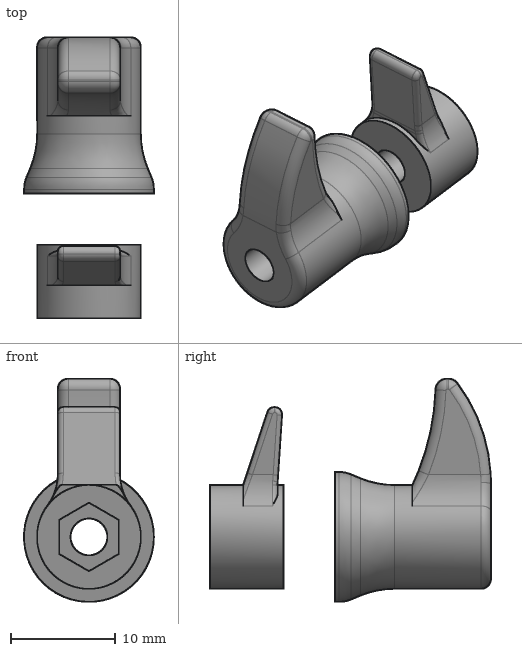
import cadquery as cq
import math

BARREL_RADIUS = 5.0
BORE_DIAMETER = 3.5
HEX_FLATS = 5.7
HEX_DEPTH = 4.0
ARM_WIDTH = 6.0
FOOT_RADIUS = BARREL_RADIUS
ARM_BEND_Z = 5.1
TOLERANCE = 0.0003

TOTAL_LENGTH = 27.0

LARGE_LENGTH = 15.0
LARGE_TOP_Z = 15.2
LARGE_TIP_ROUND = 1.1
LARGE_ROUND = 1.0
LARGE_BACK_RADIUS = 16.06
LARGE_FRONT_RADIUS = 22.95
LARGE_ARM_DEPTH = 7.55
LARGE_TIP_FRONT = 5.35

RIM_DIAMETER = 12.5
RIM_RADIUS = RIM_DIAMETER / 2
RIM_LENGTH = 0.4
NECK_START = 9.3
NECK_RADIUS = 8.59
LIP_RADIUS = 3.0
FLARE_ANGLE = math.radians(22.5)

SMALL_LENGTH = 7.07
SMALL_TOP_Z = 12.47
SMALL_TIP_ROUND = 0.73
SMALL_SIDE_ROUND = 0.5
SMALL_BEND_RADIUS = 5.4
SMALL_FOOT_BACK = 0.57
SMALL_FOOT_FRONT = 3.9
SMALL_TIP_BACK = 0.08
SMALL_TIP_FRONT = 1.4


def arm_outline(top_z, length):
    """Arm and its flared foot as a Y prism, narrowing to the barrel axis inside the barrel."""
    half_width = ARM_WIDTH / 2
    center_x = half_width + FOOT_RADIUS
    center_distance = BARREL_RADIUS + FOOT_RADIUS
    center_z = math.sqrt(center_distance**2 - center_x**2)
    foot_x = center_x * BARREL_RADIUS / center_distance
    foot_z = center_z * BARREL_RADIUS / center_distance
    middle_angle = math.atan2(center_z, center_x) / 2
    middle_x = center_x - FOOT_RADIUS * math.cos(middle_angle)
    middle_z = center_z - FOOT_RADIUS * math.sin(middle_angle)
    return (
        cq.Workplane("XZ")
        .lineTo(foot_x, foot_z)
        .threePointArc((middle_x, middle_z), (half_width, center_z))
        .lineTo(half_width, top_z)
        .lineTo(-half_width, top_z)
        .lineTo(-half_width, center_z)
        .threePointArc((-middle_x, middle_z), (-foot_x, foot_z))
        .close()
        .extrude(length)
    )


def round_arm(arm, top_z, tip_round, side_round):
    """Round the tip across X, then the rim of both sides of the arm and foot."""
    arm = arm.faces(">Z").edges("|X").fillet(tip_round)
    rim = []
    for edge in arm.edges().vals():
        center = edge.Center()
        on_side = abs(center.x) > ARM_WIDTH / 2 - TOLERANCE
        runs_along_y = abs(edge.tangentAt(0.5).y) > 0.27 - TOLERANCE
        at_tip = center.z > top_z - TOLERANCE
        if on_side and (at_tip or not runs_along_y):
            rim.append(edge)
    return arm.newObject(rim).fillet(side_round)


def trim_front(arm, depth):
    """Keep the arm back of a plane that ends its foot."""
    keep = cq.Workplane("XY").box(TOTAL_LENGTH, depth, TOTAL_LENGTH * 2).translate((0, -depth / 2, 0))
    return arm.intersect(keep)


def drill(body, front_y):
    """Cut the through bore and the hexagonal pocket, which has corners at top and bottom."""
    bore = cq.Workplane("XZ").circle(BORE_DIAMETER / 2).extrude(TOTAL_LENGTH)
    corner_diameter = HEX_FLATS / math.cos(math.pi / 6)
    pocket = (
        cq.Workplane("XZ", origin=(0, front_y, 0))
        .polygon(6, corner_diameter)
        .extrude(-HEX_DEPTH)
        .rotate((0, 0, 0), (0, 1, 0), 30)
    )
    return body.cut(bore).cut(pocket)


def large_arm():
    """Curved arm; its front arc runs on down inside the barrel."""
    back_angle = math.asin((LARGE_TOP_Z - ARM_BEND_Z) / LARGE_BACK_RADIUS)
    back_middle = (
        -LARGE_BACK_RADIUS * (1 - math.cos(back_angle / 2)),
        ARM_BEND_Z + LARGE_BACK_RADIUS * math.sin(back_angle / 2),
    )
    back_top_y = -LARGE_BACK_RADIUS * (1 - math.cos(back_angle))
    rise = LARGE_TOP_Z - BARREL_RADIUS
    run = LARGE_ARM_DEPTH - LARGE_TIP_FRONT
    chord_angle = math.atan2(run, rise)
    half_sweep = math.asin(math.hypot(rise, run) / 2 / LARGE_FRONT_RADIUS)
    tip_angle = chord_angle - half_sweep
    center_y = -LARGE_TIP_FRONT - LARGE_FRONT_RADIUS * math.cos(tip_angle)
    center_z = LARGE_TOP_Z + LARGE_FRONT_RADIUS * math.sin(tip_angle)

    def front_point(z):
        return center_y + math.sqrt(LARGE_FRONT_RADIUS**2 - (z - center_z) ** 2), z

    profile = (
        cq.Workplane("YZ", origin=(-ARM_WIDTH, 0, 0))
        .lineTo(0, ARM_BEND_Z)
        .threePointArc(back_middle, (back_top_y, LARGE_TOP_Z))
        .lineTo(-LARGE_TIP_FRONT, LARGE_TOP_Z)
        .threePointArc(front_point(LARGE_TOP_Z / 2), front_point(0))
        .close()
    )
    slab = profile.extrude(2 * ARM_WIDTH)
    arm = arm_outline(LARGE_TOP_Z, LARGE_LENGTH).intersect(slab)
    arm = round_arm(arm, LARGE_TOP_Z, LARGE_TIP_ROUND, LARGE_ROUND)
    return trim_front(arm, LARGE_ARM_DEPTH)


def large_barrel():
    """Barrel rounded at the back, flaring through a concave arc, a cone and a convex arc to the rim."""
    def arc_step(radius, angle):
        return radius * math.sin(angle), radius * (1 - math.cos(angle))

    neck_half_run, neck_half_rise = arc_step(NECK_RADIUS, FLARE_ANGLE / 2)
    neck_run, neck_rise = arc_step(NECK_RADIUS, FLARE_ANGLE)
    lip_half_run, lip_half_rise = arc_step(LIP_RADIUS, FLARE_ANGLE / 2)
    lip_run, lip_rise = arc_step(LIP_RADIUS, FLARE_ANGLE)
    rim_start = LARGE_LENGTH - RIM_LENGTH
    flare = (
        cq.Workplane("XY")
        .lineTo(BARREL_RADIUS - LARGE_ROUND, 0)
        .radiusArc((BARREL_RADIUS, -LARGE_ROUND), LARGE_ROUND)
        .lineTo(BARREL_RADIUS, -NECK_START)
        .threePointArc(
            (BARREL_RADIUS + neck_half_rise, -NECK_START - neck_half_run),
            (BARREL_RADIUS + neck_rise, -NECK_START - neck_run),
        )
        .lineTo(RIM_RADIUS - lip_rise, -rim_start + lip_run)
        .threePointArc(
            (RIM_RADIUS - lip_half_rise, -rim_start + lip_half_run),
            (RIM_RADIUS, -rim_start),
        )
        .lineTo(RIM_RADIUS, -LARGE_LENGTH)
        .lineTo(0, -LARGE_LENGTH)
        .close()
    )
    return flare.revolve(360, (0, 0, 0), (0, 1, 0))


def make_large_lever():
    return drill(large_barrel().union(large_arm()), -LARGE_LENGTH)


def small_arm():
    """Straight arm, tapering to the tip; its front slope runs on down inside the barrel."""
    taper = (SMALL_FOOT_FRONT - SMALL_TIP_FRONT) / (SMALL_TOP_Z - BARREL_RADIUS)
    axis_front = SMALL_TIP_FRONT + taper * SMALL_TOP_Z
    lean = math.atan2(SMALL_FOOT_BACK - SMALL_TIP_BACK, SMALL_TOP_Z - ARM_BEND_Z)
    tangent_length = SMALL_BEND_RADIUS * math.tan(lean / 2)
    bend_end = (
        -SMALL_FOOT_BACK + tangent_length * math.sin(lean),
        ARM_BEND_Z + tangent_length * math.cos(lean),
    )
    profile = (
        cq.Workplane("YZ", origin=(-ARM_WIDTH, 0, 0))
        .moveTo(-axis_front, 0)
        .lineTo(-SMALL_FOOT_BACK, 0)
        .lineTo(-SMALL_FOOT_BACK, ARM_BEND_Z - tangent_length)
        .tangentArcPoint(bend_end, relative=False)
        .lineTo(-SMALL_TIP_BACK, SMALL_TOP_Z)
        .lineTo(-SMALL_TIP_FRONT, SMALL_TOP_Z)
        .close()
    )
    slab = profile.extrude(2 * ARM_WIDTH)
    arm = arm_outline(SMALL_TOP_Z, SMALL_LENGTH).intersect(slab)
    arm = round_arm(arm, SMALL_TOP_Z, SMALL_TIP_ROUND, SMALL_SIDE_ROUND)
    return trim_front(arm, SMALL_FOOT_FRONT)


def make_small_lever():
    """Small lever with the back of its barrel at Y = 0."""
    barrel = cq.Workplane("XZ").circle(BARREL_RADIUS).extrude(SMALL_LENGTH)
    return drill(barrel.union(small_arm()), -SMALL_LENGTH)


large_lever = make_large_lever()
small_lever = make_small_lever().translate((0, SMALL_LENGTH - TOTAL_LENGTH, 0))

result = cq.Compound.makeCompound([large_lever.val(), small_lever.val()])